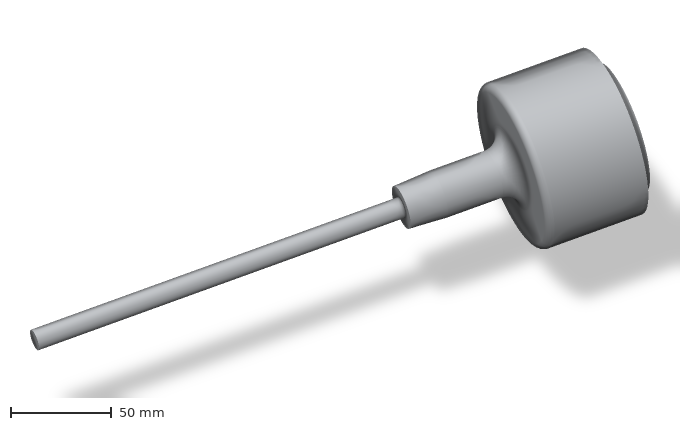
import cadquery as cq

total_length = 320.0

seat_diameter = 69.0
body_diameter = 88.0
neck_diameter = 25.0
sleeve_tip_diameter = 22.7
cable_diameter = 11.0

seat_length = 5.0
body_length = 55.0
neck_length = 40.0
sleeve_length = 20.0
cable_length = total_length - seat_length - body_length - neck_length - sleeve_length

body_edge_radius = 4.0
neck_root_radius = 10.0

seat_face_y = total_length / 2
body_back_y = seat_face_y - seat_length
body_front_y = body_back_y - body_length
neck_end_y = body_front_y - neck_length
sleeve_tip_y = neck_end_y - sleeve_length


def cylinder(diameter, start_y, length):
    """Round bar on the Y axis, running from start_y toward -Y."""
    return cq.Workplane("XZ", origin=(0, start_y, 0)).circle(diameter / 2).extrude(length)


def make_body():
    """Large drum with its -Y rim rounded."""
    drum = cylinder(body_diameter, body_back_y, body_length)
    return drum.faces("<Y").edges().fillet(body_edge_radius)


def make_neck():
    """Neck with a flared root and a slightly tapered sleeve at its end."""
    neck_radius = neck_diameter / 2
    flare_end_y = body_front_y - neck_root_radius
    arc_offset = neck_root_radius / 2**0.5
    flare_radius = neck_radius + neck_root_radius
    profile = (
        cq.Workplane("XY")
        .moveTo(0, body_front_y)
        .lineTo(flare_radius, body_front_y)
        .threePointArc(
            (flare_radius - arc_offset, flare_end_y + arc_offset),
            (neck_radius, flare_end_y),
        )
        .lineTo(neck_radius, neck_end_y)
        .lineTo(sleeve_tip_diameter / 2, sleeve_tip_y)
        .lineTo(0, sleeve_tip_y)
        .close()
    )
    return profile.revolve(360, (0, 0, 0), (0, 1, 0))


seat = cylinder(seat_diameter, seat_face_y, seat_length)
cable = cylinder(cable_diameter, sleeve_tip_y, cable_length)

result = make_body().union(seat).union(make_neck()).union(cable)